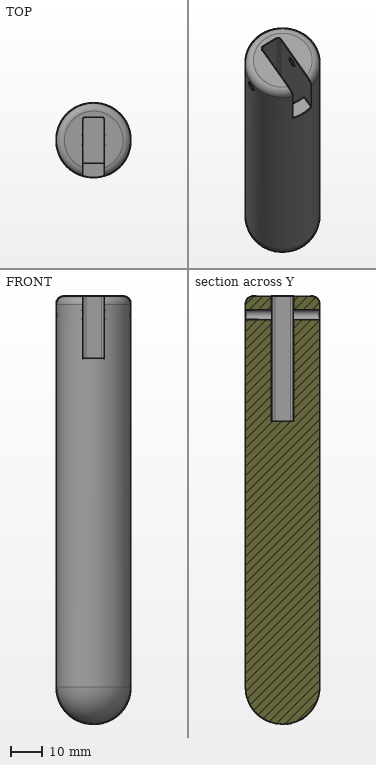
import cadquery as cq

total_height = 137.0
body_diameter = 24.0
body_radius = body_diameter / 2
top_fillet = 2.6

slot_width = 7.0
slot_depth = 20.0
slot_back_y = 7.4
slot_corner_radius = 1.0

lip_inner_y = -7.4
pocket_depth = 2 * slot_depth

pin_diameter = 3.0
pin_below_top = 6.0


def make_body():
    """Cylinder with a rounded top rim and a hemisphere below it."""
    barrel = (
        cq.Workplane("XY")
        .workplane(offset=body_radius)
        .circle(body_radius)
        .extrude(total_height - body_radius)
        .faces(">Z")
        .edges()
        .fillet(top_fillet)
    )
    round_end = cq.Workplane("XY").sphere(body_radius).translate((0, 0, body_radius))
    return barrel.union(round_end)


def make_slot_cut(front_y, depth):
    """Box sunk from the top, with rounded vertical corners at the back."""
    length = slot_back_y - front_y
    return (
        cq.Workplane("XY")
        .box(slot_width, length, depth, centered=(True, False, False))
        .translate((0, front_y, total_height - depth))
        .edges("|Z and >Y")
        .fillet(slot_corner_radius)
    )


def make_pin_hole():
    """Through hole crossing the slot along X."""
    return (
        cq.Workplane("YZ")
        .center(0, total_height - pin_below_top)
        .circle(pin_diameter / 2)
        .extrude(body_radius, both=True)
    )


open_slot = make_slot_cut(-body_radius, slot_depth)
deep_pocket = make_slot_cut(lip_inner_y, pocket_depth)

result = make_body().cut(open_slot).cut(deep_pocket).cut(make_pin_hole())